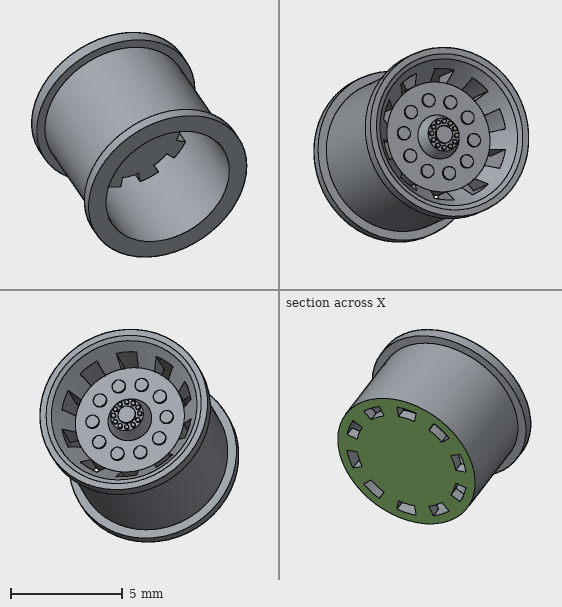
import cadquery as cq
import math

WIDTH = 6.6
OUTER_DIAMETER = 7.7
BARREL_DIAMETER = 6.9
FRONT_FLANGE_WIDTH = 0.6
REAR_FLANGE_WIDTH = 0.5
BORE_DIAMETER = 6.0

LIP_DIAMETER = 7.115
LIP_DEPTH = 0.1
CONE_DIAMETER = 6.68
DISC_DIAMETER = 5.005
DISC_DEPTH = 1.3
DISC_THICKNESS = 1.0

WINDOW_COUNT = 10
WINDOW_ANGLE = 18.0

BOLT_COUNT = 10
BOLT_DIAMETER = 0.6
BOLT_HEIGHT = 0.1
BOLT_CIRCLE_DIAMETER = 3.4
BOLT_START_ANGLE = 1.0

HUB_BASE_DIAMETER = 2.0
HUB_END_DIAMETER = 1.5
HUB_HEIGHT = 0.6
CAP_DIAMETER = 0.8
CAP_HEIGHT = 0.1
PIN_COUNT = 12
PIN_DIAMETER = 0.2
PIN_HEIGHT = 0.1
PIN_CIRCLE_DIAMETER = 1.2

FRONT_X = -WIDTH / 2
REAR_X = WIDTH / 2
DISC_X = FRONT_X + DISC_DEPTH
DISC_BACK_X = DISC_X + DISC_THICKNESS
HUB_END_X = DISC_X - HUB_HEIGHT


def rim_and_disc():
    """Revolve the flanged barrel together with the dished disc."""
    outer_radius = OUTER_DIAMETER / 2
    barrel_radius = BARREL_DIAMETER / 2
    bore_radius = BORE_DIAMETER / 2
    profile = [
        (DISC_X, 0),
        (DISC_X, DISC_DIAMETER / 2),
        (FRONT_X + LIP_DEPTH, CONE_DIAMETER / 2),
        (FRONT_X, LIP_DIAMETER / 2),
        (FRONT_X, outer_radius),
        (FRONT_X + FRONT_FLANGE_WIDTH, outer_radius),
        (FRONT_X + FRONT_FLANGE_WIDTH, barrel_radius),
        (REAR_X - REAR_FLANGE_WIDTH, barrel_radius),
        (REAR_X - REAR_FLANGE_WIDTH, outer_radius),
        (REAR_X, outer_radius),
        (REAR_X, bore_radius),
        (DISC_BACK_X, bore_radius),
        (DISC_BACK_X, 0),
    ]
    return cq.Workplane("XY").polyline(profile).close().revolve(360, (0, 0, 0), (1, 0, 0))


def ring_point(radius, angle):
    """Point in the YZ plane at an angle in degrees from +Y towards +Z."""
    return radius * math.cos(math.radians(angle)), radius * math.sin(math.radians(angle))


def ring_points(count, circle_diameter, start_angle=0.0):
    """Evenly spaced points on a circle around the wheel axis."""
    return [ring_point(circle_diameter / 2, start_angle + i * 360 / count) for i in range(count)]


def raised_discs(x, points, diameter, height):
    """Round studs rising towards -X from the plane at x."""
    return cq.Workplane("YZ", origin=(x, 0, 0)).pushPoints(points).circle(diameter / 2).extrude(-height)


def window(middle_angle):
    """Sector between the disc edge and the bore, cut through along X."""
    inner = DISC_DIAMETER / 2
    outer = BORE_DIAMETER / 2
    first = middle_angle - WINDOW_ANGLE / 2
    last = middle_angle + WINDOW_ANGLE / 2
    return (
        cq.Workplane("YZ", origin=(FRONT_X, 0, 0))
        .moveTo(*ring_point(inner, first))
        .lineTo(*ring_point(outer, first))
        .threePointArc(ring_point(outer, middle_angle), ring_point(outer, last))
        .lineTo(*ring_point(inner, last))
        .threePointArc(ring_point(inner, middle_angle), ring_point(inner, first))
        .close()
        .extrude(DISC_BACK_X - FRONT_X)
    )


def hub():
    """Truncated cone standing on the middle of the disc."""
    profile = [
        (DISC_X, 0),
        (DISC_X, HUB_BASE_DIAMETER / 2),
        (HUB_END_X, HUB_END_DIAMETER / 2),
        (HUB_END_X, 0),
    ]
    return cq.Workplane("XY").polyline(profile).close().revolve(360, (0, 0, 0), (1, 0, 0))


wheel = rim_and_disc()
for i in range(WINDOW_COUNT):
    wheel = wheel.cut(window(90 + i * 360 / WINDOW_COUNT))

bolt_points = ring_points(BOLT_COUNT, BOLT_CIRCLE_DIAMETER, BOLT_START_ANGLE)
pin_points = ring_points(PIN_COUNT, PIN_CIRCLE_DIAMETER)

wheel = wheel.union(raised_discs(DISC_X, bolt_points, BOLT_DIAMETER, BOLT_HEIGHT))
wheel = wheel.union(hub())
wheel = wheel.union(raised_discs(HUB_END_X, [(0, 0)], CAP_DIAMETER, CAP_HEIGHT))
result = wheel.union(raised_discs(HUB_END_X, pin_points, PIN_DIAMETER, PIN_HEIGHT))